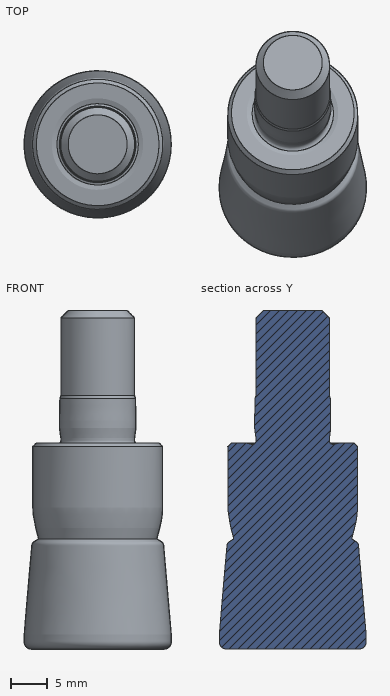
import cadquery as cq

total_height = 46.0
base_rim_bottom = 1.0
base_rim_top = 2.0
base_shoulder = 14.08
base_cone_bottom = 14.65
base_top = 15.0
waist_cone_top = 16.4
collar_bottom = 19.2
collar_top = 28.0
band_bottom = 30.0
band_crest = 31.0
band_top = 34.05
stud_bottom = 34.45
neck_height = 28.6

base_radius = 10.005
base_shoulder_radius = 8.95
base_cone_radius = 8.6
waist_radius = 8.05
waist_cone_radius = 8.4
collar_radius = 8.85
stud_radius = 5.0
band_radius = 5.2
band_top_radius = 5.15

bottom_round = base_rim_bottom
stud_chamfer = 1.0
collar_chamfer = 0.5
countersink_radius = 6.2
countersink_depth = 0.2
root_fillet = 0.5
root_radius = stud_radius + root_fillet
root_height = collar_top - countersink_depth

blend_mid_radius = 8.715
blend_mid_height = (waist_cone_top + collar_bottom) / 2


def base_and_collar():
    """Tapered base, waist and collar, revolved about Z."""
    profile = (
        cq.Workplane("XZ")
        .lineTo(base_radius - bottom_round, 0)
        .radiusArc((base_radius, base_rim_bottom), -bottom_round)
        .lineTo(base_radius, base_rim_top)
        .lineTo(base_shoulder_radius, base_shoulder)
        .tangentArcPoint((base_cone_radius, base_cone_bottom), relative=False)
        .lineTo(waist_radius, base_top)
        .lineTo(waist_cone_radius, waist_cone_top)
        .threePointArc((blend_mid_radius, blend_mid_height), (collar_radius, collar_bottom))
        .lineTo(collar_radius, collar_top - collar_chamfer)
        .lineTo(collar_radius - collar_chamfer, collar_top)
        .lineTo(countersink_radius, collar_top)
        .lineTo(root_radius, root_height)
        .lineTo(0, root_height)
        .close()
    )
    return profile.revolve()


def stud():
    """Chamfered stud with a slightly thicker locking band near its foot."""
    profile = (
        cq.Workplane("XZ")
        .moveTo(0, root_height)
        .lineTo(root_radius, root_height)
        .radiusArc((stud_radius, root_height + root_fillet), root_fillet)
        .lineTo(stud_radius, neck_height)
        .lineTo(band_radius, band_bottom)
        .lineTo(band_radius, band_crest)
        .lineTo(band_top_radius, band_top)
        .lineTo(stud_radius, stud_bottom)
        .lineTo(stud_radius, total_height - stud_chamfer)
        .lineTo(stud_radius - stud_chamfer, total_height)
        .lineTo(0, total_height)
        .close()
    )
    return profile.revolve()


result = base_and_collar().union(stud())